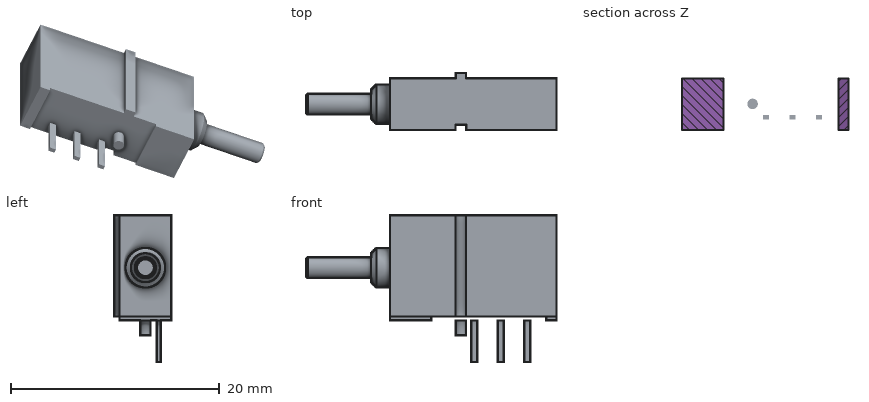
import cadquery as cq

housing_length = 16.0
housing_depth = 5.0
housing_height = 9.75
rib_start = 6.3
rib_width = 1.0
rib_height = 0.5
groove_depth = 0.5

axis_height = 4.7
bushing_diameter = 3.8
bushing_length = 1.8
bushing_chamfer = 0.5
shaft_diameter = 2.02
shaft_length = 6.25
shaft_chamfer = 0.2

foot_height = 0.35
front_foot_length = 4.0
rear_foot_length = 1.0

peg_diameter = 1.0
peg_length = 1.45
pin_width = 0.6
pin_thickness = 0.4
pin_length = 4.0
pin_count = 3
pin_pitch = 2.55
first_pin_x = 8.08
pin_y = 1.23

middle_y = housing_depth / 2
rib_center_x = rib_start + rib_width / 2
foot_bottom = -foot_height


def corner_box(length, depth, height, x=0, y=0, z=0):
    """Box whose lowest corner is at (x, y, z)."""
    return cq.Workplane("XY").box(length, depth, height, centered=False).translate((x, y, z))


def make_housing():
    """Block with a locating rib on one side and a matching groove on the other."""
    block = corner_box(housing_length, housing_depth, housing_height)
    rib = corner_box(rib_width, rib_height, housing_height, x=rib_start, y=housing_depth)
    groove = corner_box(rib_width, groove_depth, housing_height, x=rib_start)
    return block.union(rib).cut(groove)


def make_axial_cylinder(diameter, length, chamfer, base_x):
    """Cylinder pointing to -X from base_x, chamfered at its free end."""
    return (
        cq.Workplane("YZ", origin=(base_x, middle_y, axis_height))
        .circle(diameter / 2)
        .extrude(-length)
        .faces("<X")
        .chamfer(chamfer)
    )


def make_foot(length, x):
    """Thin standoff strip across the underside of the housing."""
    return corner_box(length, housing_depth, foot_height, x=x, z=foot_bottom)


def make_peg():
    """Round locating peg, starting level with the soles of the feet."""
    return (
        cq.Workplane("XY", origin=(rib_center_x, middle_y, foot_bottom))
        .circle(peg_diameter / 2)
        .extrude(-peg_length)
    )


def make_pin(x):
    """Flat terminal pin, starting level with the soles of the feet."""
    return (
        cq.Workplane("XY", origin=(x, pin_y, foot_bottom))
        .rect(pin_width, pin_thickness)
        .extrude(-pin_length)
    )


housing = make_housing()
bushing = make_axial_cylinder(bushing_diameter, bushing_length, bushing_chamfer, base_x=0)
shaft = make_axial_cylinder(shaft_diameter, shaft_length, shaft_chamfer, base_x=-bushing_length)
front_foot = make_foot(front_foot_length, x=0)
rear_foot = make_foot(rear_foot_length, x=housing_length - rear_foot_length)
peg = make_peg()
pins = [make_pin(first_pin_x + index * pin_pitch) for index in range(pin_count)]

result = cq.Compound.makeCompound(
    [
        housing.val(),
        bushing.val(),
        shaft.val(),
        front_foot.val(),
        rear_foot.val(),
        peg.val(),
        *[pin.val() for pin in pins],
    ]
)